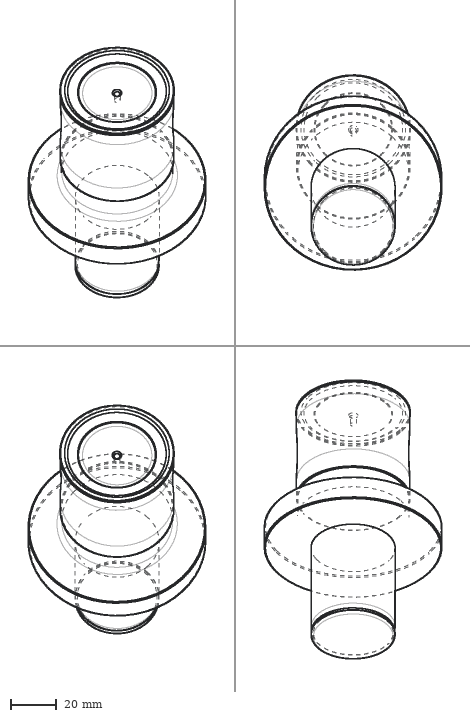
import cadquery as cq
import math

height = 119.0

shank_radius = 18.5
lip_round = 1.0
taper_end_radius = 18.2
taper_bottom = 2.6
taper_top = 5.1

flange_diameter = 78.0
flange_radius = flange_diameter / 2
flange_bottom = 46.9
flange_top = 58.2
flange_chamfer = 0.5
cone_end_radius = 26.4
cone_end_z = 61.6

neck_radius = 24.4
neck_bottom = 64.3
head_radius = 25.0
head_bottom = 73.0
head_chamfer = 0.4
waist_bottom = 82.5
waist_top = 111.7
waist_depth = 0.5
rim_lip = 0.1
rim_height = 1.1
rim_chamfer = 0.4

rim_inner_radius = 23.0
wall_foot_radius = 21.7
wall_depth = 0.7
dish_radius = 17.3
dish_depth = 1.3
step_width = 0.4
step_depth = 1.5
floor_radius = 15.2
floor_depth = 1.8

hole_mouth_radius = 2.0
hole_radius = 1.3
hole_depth = 4.8
drill_point_angle = 120.0


def make_body():
    """Revolve the half-profile of the shank, flange, neck, head and dish."""
    waist_middle = (head_radius - waist_depth, (waist_bottom + waist_top) / 2)
    rim_radius = head_radius + rim_lip
    profile = (
        cq.Workplane("XZ")
        .lineTo(shank_radius - lip_round, 0)
        .threePointArc((shank_radius, lip_round), (shank_radius - lip_round, 2 * lip_round))
        .lineTo(taper_end_radius, taper_bottom)
        .lineTo(shank_radius, taper_top)
        .lineTo(shank_radius, flange_bottom)
        .lineTo(flange_radius - flange_chamfer, flange_bottom)
        .lineTo(flange_radius, flange_bottom + flange_chamfer)
        .lineTo(flange_radius, flange_top - flange_chamfer)
        .lineTo(flange_radius - flange_chamfer, flange_top)
        .lineTo(cone_end_radius, cone_end_z)
        .tangentArcPoint((neck_radius, neck_bottom), relative=False)
        .lineTo(neck_radius, head_bottom)
        .lineTo(head_radius - head_chamfer, head_bottom)
        .lineTo(head_radius, head_bottom + head_chamfer)
        .lineTo(head_radius, waist_bottom)
        .threePointArc(waist_middle, (head_radius, waist_top))
        .lineTo(head_radius, height - rim_height)
        .lineTo(rim_radius, height - rim_height)
        .lineTo(rim_radius, height - rim_chamfer)
        .lineTo(rim_radius - rim_chamfer, height)
        .lineTo(rim_inner_radius, height)
        .lineTo(wall_foot_radius, height - wall_depth)
        .lineTo(dish_radius, height - dish_depth)
        .lineTo(dish_radius - step_width, height - step_depth)
        .lineTo(floor_radius, height - floor_depth)
        .lineTo(0, height - floor_depth)
        .close()
    )
    return profile.revolve(360, (0, 0, 0), (0, 1, 0))


def make_center_hole():
    """Countersunk blind hole with a drill point, ready to be cut."""
    floor_z = height - floor_depth
    countersink_depth = hole_mouth_radius - hole_radius
    point_length = hole_radius / math.tan(math.radians(drill_point_angle / 2))
    profile = (
        cq.Workplane("XZ")
        .moveTo(0, floor_z)
        .lineTo(hole_mouth_radius, floor_z)
        .lineTo(hole_radius, floor_z - countersink_depth)
        .lineTo(hole_radius, floor_z - hole_depth)
        .lineTo(0, floor_z - hole_depth - point_length)
        .close()
    )
    return profile.revolve(360, (0, 0, 0), (0, 1, 0))


result = make_body().cut(make_center_hole())